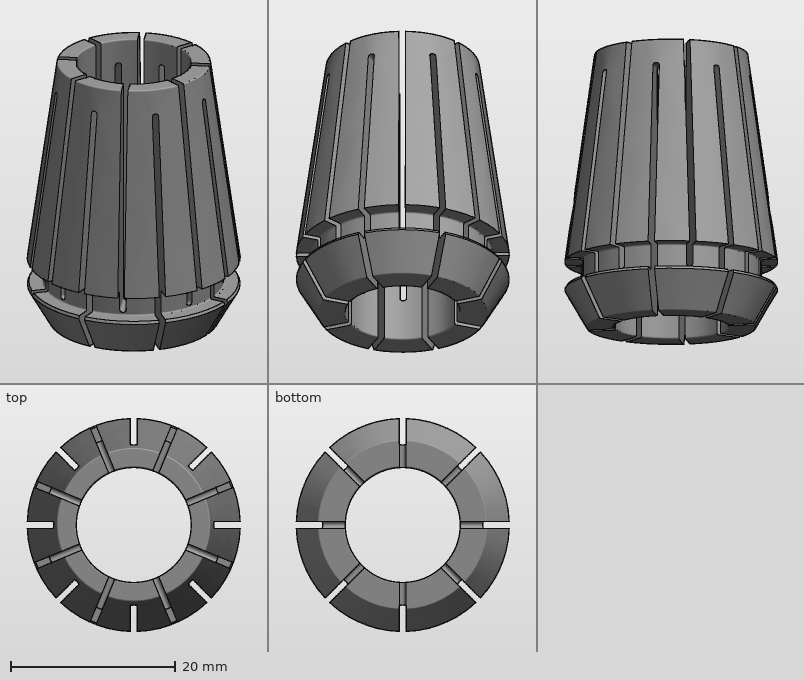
import cadquery as cq
import math

height = 34.0
max_radius = 13.0
bore_radius = 7.0
edge_radius = 0.2

taper_angle = math.radians(8)
taper_bottom = 8.1
nose_radius = max_radius - (height - taper_bottom) * math.tan(taper_angle)

neck_radius = 11.0
flange_top = 5.0

flange_angle = math.radians(30)
base_radius = 10.3
flange_radius = base_radius + flange_top * math.tan(flange_angle)
flange_chamfer = 0.4

slot_width = 0.8
slots_per_set = 8
slot_pitch = 360 / slots_per_set
base_slot_end = 31.0
nose_slot_end = 5.4
slot_overrun = 1.0


def make_body():
    """Revolved sleeve with rounded circular edges and a chamfered flange rim."""
    profile = (
        cq.Workplane("XZ")
        .moveTo(bore_radius, 0)
        .lineTo(base_radius, 0)
        .lineTo(flange_radius, flange_top)
        .lineTo(neck_radius, flange_top)
        .lineTo(neck_radius, taper_bottom)
        .lineTo(max_radius, taper_bottom)
        .lineTo(nose_radius, height)
        .lineTo(bore_radius, height)
        .close()
    )
    body = profile.revolve(360, (0, 0, 0), (0, 1, 0))
    rounded_circles = [
        (bore_radius, 0),
        (base_radius, 0),
        (neck_radius, flange_top),
        (neck_radius, taper_bottom),
        (nose_radius, height),
        (bore_radius, height),
    ]
    for radius, level in rounded_circles:
        body = find_circle(body, radius, level).fillet(edge_radius)
    return find_circle(body, flange_radius, flange_top).chamfer(flange_chamfer)


def find_circle(body, radius, level):
    """Select the circular edge of the given radius at the given height."""
    tolerance = 1e-3
    edges = [
        edge
        for edge in body.edges("%CIRCLE").vals()
        if abs(edge.radius() - radius) < tolerance
        and abs(edge.Center().z - level) < tolerance
    ]
    return body.newObject(edges)


def make_slot(open_level, round_level):
    """Radial cutter along +X, open at one level and round-ended at the other."""
    half_width = slot_width / 2
    direction = math.copysign(1, round_level - open_level)
    arc_start = round_level - direction * half_width
    outline = (
        cq.Workplane("YZ")
        .moveTo(-half_width, open_level)
        .lineTo(-half_width, arc_start)
        .threePointArc((0, round_level), (half_width, arc_start))
        .lineTo(half_width, open_level)
        .close()
    )
    return outline.extrude(max_radius + slot_overrun)


def cut_slots(body, slot, first_angle):
    """Cut one full set of equally spaced slots."""
    for index in range(slots_per_set):
        angle = first_angle + index * slot_pitch
        body = body.cut(slot.rotate((0, 0, 0), (0, 0, 1), angle))
    return body


base_slot = make_slot(-slot_overrun, base_slot_end)
nose_slot = make_slot(height + slot_overrun, nose_slot_end)

result = make_body()
result = cut_slots(result, base_slot, 0)
result = cut_slots(result, nose_slot, slot_pitch / 2)